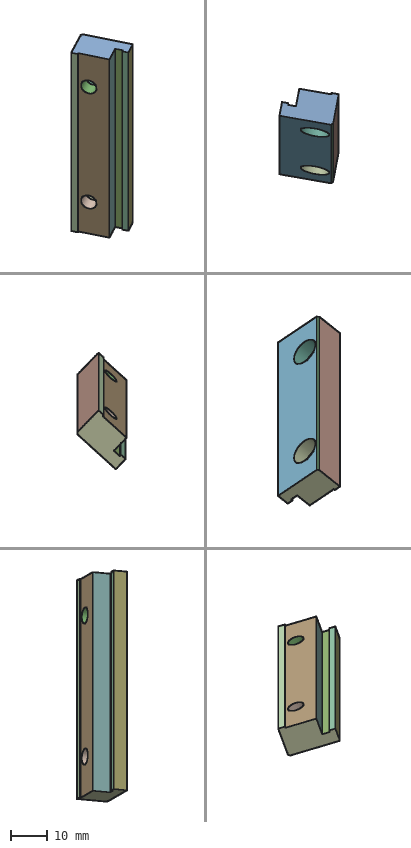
import cadquery as cq

width = 15.0
depth = 9.0
length = 62.0

body_width = 11.0
foot_width = 2.0
foot_height = 0.4
arm_thickness = 3.5
lip_width = 1.8
lip_height = 0.5
edge_chamfer = 0.5

hole_diameter = 4.5
counterbore_diameter = 8.0
counterbore_depth = 4.5
hole_x = 5.0
hole_spacing = 40.0


def make_bar():
    """Extrude the cross-section along Z, with its front left corner at the origin."""
    front_face_y = foot_height
    arm_y = depth - arm_thickness
    lip_y = arm_y - lip_height
    lip_x = width - lip_width
    section = [
        (0, 0),
        (foot_width, 0),
        (foot_width, front_face_y),
        (body_width, front_face_y),
        (body_width, arm_y),
        (lip_x, arm_y),
        (lip_x, lip_y),
        (width, lip_y),
        (width, depth),
        (edge_chamfer, depth),
        (0, depth - edge_chamfer),
    ]
    return cq.Workplane("XY").polyline(section).close().extrude(length)


def make_cylinder(z, diameter, start_y):
    """Cylinder along Y at height z, running from start_y to the back face."""
    return (
        cq.Workplane("XZ", origin=(hole_x, start_y, z))
        .circle(diameter / 2)
        .extrude(start_y - depth)
    )


def make_counterbored_hole(z):
    """Through hole with a screw-head counterbore in the back face."""
    through_hole = make_cylinder(z, hole_diameter, 0)
    counterbore = make_cylinder(z, counterbore_diameter, depth - counterbore_depth)
    return through_hole.union(counterbore)


result = make_bar()
for side in (-1, 1):
    hole_z = length / 2 + side * hole_spacing / 2
    result = result.cut(make_counterbored_hole(hole_z))